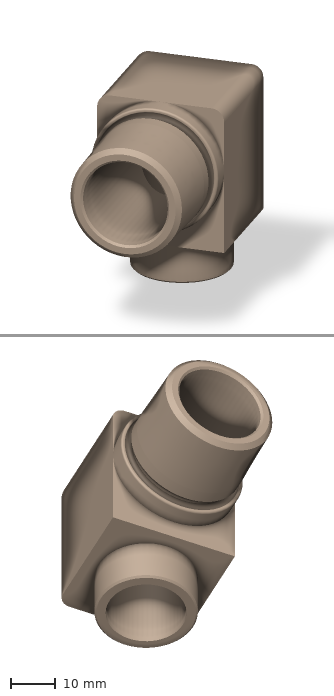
import cadquery as cq

block_width = 30.0
half_width = block_width / 2
block_bottom = -19.6
block_round = 3.0

stub_radius = 11.6
stub_bottom = -30.05
stub_chamfer = 0.45
stub_bore_radius = 9.05

collar_end = 19.6
collar_round = 0.5
seat_outer_radius = 14.1
seat_lip_round = 0.2
seat_floor_radius = 13.15
seat_depth = 0.95

neck_radius = 12.55
neck_start = 19.85
neck_end = 20.3
neck_blend_radius = 12.75
neck_blend_end = 20.85
spigot_radius = 13.5
spigot_start = 21.65
taper_start = 24.75
taper_end = 39.2
taper_end_radius = 13.15
spigot_end = 55.2 - half_width
spigot_end_radius = 12.0
spigot_bore_radius = 10.0
bore_chamfer = 0.5


def make_block():
    """Square body, rounded at the back and along the top, sharp at the front and bottom."""
    height = half_width - block_bottom
    block = cq.Workplane("XY").workplane(offset=block_bottom).rect(block_width, block_width).extrude(height)
    return block.edges("(|Z and >Y) or (>Z and (not <Y))").fillet(block_round)


def make_stub():
    """Plain round outlet with a chamfered rim."""
    stub = cq.Workplane("XY").workplane(offset=stub_bottom).circle(stub_radius).extrude(-stub_bottom)
    return stub.faces("<Z").chamfer(stub_chamfer)


def make_spigot():
    """Collar, concave ring seat, blended neck and tapered spigot turned about the Y axis."""
    round_middle = collar_round * (1 - 0.5 ** 0.5)
    lip_middle = seat_lip_round * (1 - 0.5 ** 0.5)
    profile = (
        cq.Workplane("XY")
        .moveTo(0, 0)
        .lineTo(half_width, 0)
        .lineTo(half_width, -(collar_end - collar_round))
        .threePointArc(
            (half_width - round_middle, -(collar_end - round_middle)),
            (half_width - collar_round, -collar_end),
        )
        .lineTo(seat_outer_radius + seat_lip_round, -collar_end)
        .threePointArc(
            (seat_outer_radius + lip_middle, -(collar_end - lip_middle)),
            (seat_outer_radius, -(collar_end - seat_lip_round)),
        )
        .threePointArc((seat_floor_radius, -(collar_end - seat_depth)), (neck_radius, -neck_start))
        .lineTo(neck_radius, -neck_end)
        .tangentArcPoint((neck_blend_radius, -neck_blend_end), relative=False)
        .lineTo(spigot_radius, -spigot_start)
        .lineTo(spigot_radius, -taper_start)
        .lineTo(taper_end_radius, -taper_end)
        .lineTo(spigot_end_radius, -spigot_end)
        .lineTo(0, -spigot_end)
        .close()
    )
    return profile.revolve(360, (0, 0, 0), (0, 1, 0))


def make_bores():
    """Two round bores meeting at right angles, the front one flared at its mouth."""
    stub_bore_height = spigot_bore_radius - stub_bottom
    stub_bore = cq.Workplane("XY").workplane(offset=stub_bottom).circle(stub_bore_radius).extrude(stub_bore_height)
    spigot_bore = cq.Workplane("XZ").circle(spigot_bore_radius).extrude(spigot_end)
    mouth_flare = (
        cq.Workplane("XZ", origin=(0, -spigot_end, 0))
        .circle(spigot_bore_radius + bore_chamfer)
        .workplane(offset=-bore_chamfer)
        .circle(spigot_bore_radius)
        .loft()
    )
    return stub_bore.union(spigot_bore).union(mouth_flare)


result = make_block().union(make_stub()).union(make_spigot()).cut(make_bores())